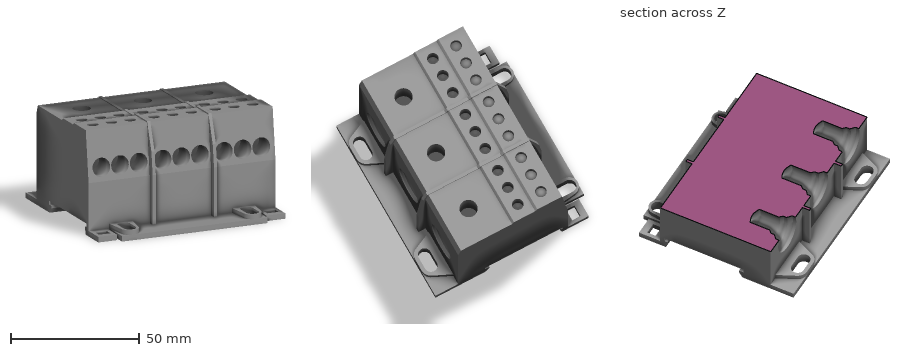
import cadquery as cq
import math


length = 71.0
width = 80.1
half_width = width / 2

pole_pitch = 26.3
pole_positions = [-pole_pitch, 0, pole_pitch]
outer_poles = [-pole_pitch, pole_pitch]
fin_positions = [-pole_pitch / 2, pole_pitch / 2]

flange_thickness = 2.25
entry_wall = 10.1
exit_wall = 59.0
exit_slope_base = 21.6

entry_chamfer_base = 37.3
entry_chamfer_run = 1.3
low_terrace = 40.7
mid_terrace = 41.65
high_terrace = 42.45
low_terrace_end = 34.1
mid_terrace_start = 35.0
mid_terrace_end = 44.45
high_terrace_start = 45.4
high_terrace_end = 56.4

recess_start = 22.0
recess_end = 56.9
recess_height = 4.7
lip_bottom = 2.2
lip_top = 3.2
entry_lip_foot = 22.5
entry_lip_tip = 24.0
exit_lip_foot = 56.4
exit_lip_tip = 55.75

fin_thickness = 1.4
fin_low_top = 41.0
fin_mid_top = 42.0
fin_high_top = 43.0
fin_low_start = 10.9
fin_low_end = 33.5
fin_mid_start = 34.5
fin_mid_end = 43.8
fin_high_start = 45.1
fin_high_end = 56.5
fin_entry_edge = 6.9
fin_entry_bends = [(7.0, 21.7), (7.9, 29.8), (9.0, 37.1)]
fin_entry_straight_top = 20.2
fin_exit_edge = 61.75
fin_exit_bend = (60.55, 31.6)
fin_exit_straight_top = 22.4

foot_end = 68.25
foot_inner_edge = 32.0
foot_gap = 0.9
foot_window_start = 61.75
foot_window_end = 65.45
foot_window_width = 5.0
foot_window_centre = 36.05

lug_top = 4.2
slot_length = 10.3
slot_width = 5.2
slot_reach = (slot_length - slot_width) / 2
entry_lug_radius = 4.2
entry_lug_angle = 25.0
exit_lug_radius = 3.8
exit_lug_angle = 8.0
exit_slot_centre = 64.8

supply_height = 18.1
supply_mouth_radius = 7.5
supply_middle_radius = 6.0
supply_bore_radius = 5.05
supply_mouth_depth = 1.5
supply_middle_start = 3.05
supply_middle_end = 4.6
supply_bore_start = 5.85
supply_bore_end = 14.4
drill_tip_angle = 118.0

outgoing_diameter = 7.5
outgoing_height = 27.2
outgoing_bottom = 48.1

supply_screw_x = 22.35
supply_screw_diameter = 7.1
supply_screw_depth = 9.6
outgoing_pitch = 8.0
outgoing_screw_diameter = 4.6
mid_screw_x = 39.8
mid_screw_depth = 4.8
high_screw_x = 50.15
high_screw_depth = 2.2


def extrude_across(points, thickness, centre_y=0.0):
    """Extrude an XZ outline along Y, centred on centre_y."""
    plane = cq.Workplane("XZ", origin=(0, centre_y, 0))
    return plane.polyline(points).close().extrude(thickness / 2, both=True)


def make_box(x_start, x_end, y_size, height, centre_y=0.0):
    """Box standing on the mounting face."""
    box = cq.Workplane("XY").box(x_end - x_start, y_size, height, centered=(False, True, False))
    return box.translate((x_start, centre_y, 0))


def make_housing():
    return extrude_across(
        [
            (0, 0),
            (entry_lip_foot, 0),
            (entry_lip_tip, lip_bottom),
            (entry_lip_tip, lip_top),
            (recess_start, lip_top),
            (recess_start, recess_height),
            (recess_end, recess_height),
            (recess_end, lip_top),
            (exit_lip_tip, lip_top),
            (exit_lip_tip, lip_bottom),
            (exit_lip_foot, 0),
            (exit_wall, 0),
            (exit_wall, exit_slope_base),
            (high_terrace_end, high_terrace),
            (high_terrace_start, high_terrace),
            (mid_terrace_end, mid_terrace),
            (mid_terrace_start, mid_terrace),
            (low_terrace_end, low_terrace),
            (entry_wall + entry_chamfer_run, low_terrace),
            (entry_wall, entry_chamfer_base),
            (entry_wall, flange_thickness),
            (0, flange_thickness),
        ],
        width,
    )


def make_fin(centre_y):
    """Thin partition standing proud of the entry wall, the terraces and the exit wall."""
    outline = [
        (fin_entry_edge, flange_thickness),
        (fin_entry_edge, fin_entry_straight_top),
        *fin_entry_bends,
        (fin_low_start, fin_low_top),
        (fin_low_end, fin_low_top),
        (fin_mid_start, fin_mid_top),
        (fin_mid_end, fin_mid_top),
        (fin_high_start, fin_high_top),
        (fin_high_end, fin_high_top),
        fin_exit_bend,
        (fin_exit_edge, fin_exit_straight_top),
        (fin_exit_edge, flange_thickness),
        (exit_wall, flange_thickness),
        (exit_wall, recess_height),
        (entry_wall, recess_height),
        (entry_wall, flange_thickness),
    ]
    return extrude_across(outline, fin_thickness, centre_y)


def make_exit_flange():
    """Centre plate and two windowed feet, separated by narrow gaps."""
    flange = make_box(exit_wall, length, 2 * (foot_inner_edge - foot_gap), flange_thickness)
    foot_width = half_width - foot_inner_edge
    foot_centre = half_width - foot_width / 2
    for side in (-1, 1):
        foot = make_box(exit_wall, foot_end, foot_width, flange_thickness, side * foot_centre)
        window = make_box(
            foot_window_start, foot_window_end, foot_window_width, flange_thickness, side * foot_window_centre
        )
        flange = flange.union(foot.cut(window))
    return flange


def make_lug(wall_x, nose_x, spread, radius, angle, direction, centre_y):
    """Pad tapering from the wall to a nose rounded about points at nose_x, spread to each side.

    direction is -1 when the nose points to -X and 1 when it points to +X.
    """
    slope = math.radians(angle)
    tangent_x = nose_x + direction * radius * math.sin(slope)
    tangent_y = spread + radius * math.cos(slope)
    wall_y = tangent_y + abs(tangent_x - wall_x) * math.tan(slope)
    bend_x = nose_x + direction * radius * math.cos(math.pi / 4)
    bend_y = spread + radius * math.sin(math.pi / 4)
    tip_x = nose_x + direction * radius
    outline = (
        cq.Workplane("XY", origin=(0, centre_y, flange_thickness))
        .moveTo(wall_x, wall_y)
        .lineTo(tangent_x, tangent_y)
        .threePointArc((bend_x, bend_y), (tip_x, spread))
    )
    if spread > 0:
        outline = outline.lineTo(tip_x, -spread)
    outline = outline.threePointArc((bend_x, -bend_y), (tangent_x, -tangent_y)).lineTo(wall_x, -wall_y)
    return outline.close().extrude(lug_top - flange_thickness)


def make_slot(centre_x, centre_y, angle):
    slot = cq.Workplane("XY").center(centre_x, centre_y)
    return slot.slot2D(slot_length, slot_width, angle).extrude(lug_top)


def make_supply_hole(centre_y):
    """Stepped bore entering from the entry wall, with conical steps and a drill tip."""
    tip_depth = supply_bore_end + supply_bore_radius / math.tan(math.radians(drill_tip_angle / 2))
    profile = [
        (0, 0),
        (0, supply_mouth_radius),
        (supply_mouth_depth, supply_mouth_radius),
        (supply_middle_start, supply_middle_radius),
        (supply_middle_end, supply_middle_radius),
        (supply_bore_start, supply_bore_radius),
        (supply_bore_end, supply_bore_radius),
        (tip_depth, 0),
    ]
    plane = cq.Workplane("XZ", origin=(entry_wall, centre_y, supply_height))
    return plane.polyline(profile).close().revolve(360, (0, 0, 0), (1, 0, 0))


def make_screw_hole(x, y, top, diameter, depth):
    plane = cq.Workplane("XY", origin=(x, y, top - depth))
    return plane.circle(diameter / 2).extrude(depth)


def make_outgoing_hole(y):
    plane = cq.Workplane("YZ", origin=(outgoing_bottom, y, outgoing_height))
    return plane.circle(outgoing_diameter / 2).extrude(exit_wall - outgoing_bottom)


def cut_pole(body, pole_y):
    """Cut the supply hole, the outgoing holes and all clamping screw holes of one pole."""
    body = body.cut(make_supply_hole(pole_y))
    supply_screw = make_screw_hole(
        supply_screw_x, pole_y, low_terrace, supply_screw_diameter, supply_screw_depth
    )
    body = body.cut(supply_screw)
    for offset in (-outgoing_pitch, 0, outgoing_pitch):
        y = pole_y + offset
        mid_screw = make_screw_hole(mid_screw_x, y, mid_terrace, outgoing_screw_diameter, mid_screw_depth)
        high_screw = make_screw_hole(high_screw_x, y, high_terrace, outgoing_screw_diameter, high_screw_depth)
        body = body.cut(mid_screw).cut(high_screw).cut(make_outgoing_hole(y))
    return body


body = make_housing().union(make_exit_flange())

for pole_y in outer_poles:
    entry_lug = make_lug(
        entry_wall, entry_lug_radius, slot_reach, entry_lug_radius, entry_lug_angle, -1, pole_y
    )
    exit_lug = make_lug(
        exit_wall, length - exit_lug_radius, 0, exit_lug_radius, exit_lug_angle, 1, pole_y
    )
    body = body.union(entry_lug).union(exit_lug)
    body = body.cut(make_slot(entry_lug_radius, pole_y, 90))
    body = body.cut(make_slot(exit_slot_centre, pole_y, 0))

for pole_y in pole_positions:
    body = cut_pole(body, pole_y)

for fin_y in fin_positions:
    body = body.union(make_fin(fin_y))

result = body